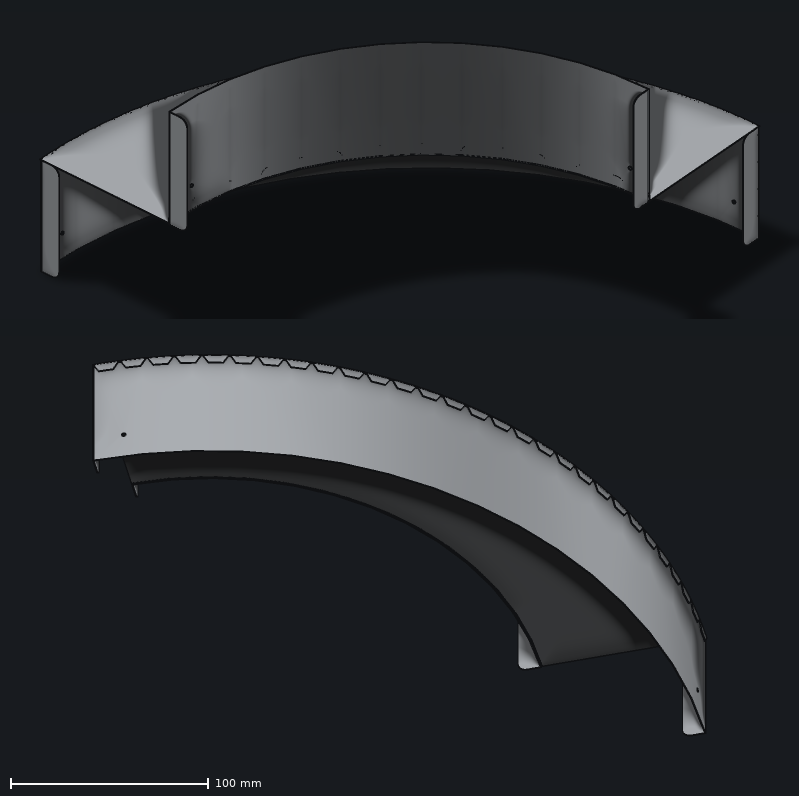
import cadquery as cq
import math


sheet = 0.6
length_y = 259.7
height = 139.5
plate_bottom = 69.3
inner_wall_radius = 172.7
flange_depth = 12.2
flange_corner = 5.0
flange_bend = 0.5

hole_diameter = 2.0
hole_height = 15.5
hole_inset = 16.0
hole_inset_inner_x = 12.2

outer_tab_count = 29
outer_tab_height = 6.0
outer_notch_mouth = 6.5
outer_notch_root = 0.8
inner_tab_count = 18
inner_tab_height = 7.0
inner_tab_corner = 5.5

plate_top = plate_bottom + sheet
outer_tab_radius = length_y - sheet
outer_wall_radius = outer_tab_radius - sheet
inner_tab_radius = inner_wall_radius + sheet
quarter_turn = 90.0
clearance = 2.5


def quarter_ring(outer_radius, inner_radius, bottom, top):
    """Quarter of a ring in the -X, +Y quadrant."""
    ring = cq.Workplane("XY").workplane(offset=bottom).circle(outer_radius).circle(inner_radius)
    quadrant = cq.Workplane("XY").box(
        outer_radius, outer_radius, top, centered=False
    ).translate((-outer_radius, 0, 0))
    return ring.extrude(top - bottom).intersect(quadrant)


def radial_plane(angle, level):
    """Plane facing outward from the arc centre; angle in degrees from -X towards +Y."""
    turn = math.radians(angle)
    outward = cq.Vector(-math.cos(turn), math.sin(turn), 0)
    tangent = cq.Vector(-math.sin(turn), -math.cos(turn), 0)
    return cq.Plane(origin=(0, 0, level), xDir=tangent, normal=outward)


def flange(radius, bottom, top, thickness_start):
    """Flange inward along +X from the wall, sheet starting at Y = thickness_start, free corners rounded."""
    blank = cq.Workplane("XY").box(flange_depth, sheet, top - bottom, centered=False)
    rounded = blank.edges("|Y and >X").fillet(flange_corner)
    return rounded.translate((-radius, thickness_start, bottom))


def wall_hole(radius, angle, level):
    """Radial drill through a wall."""
    drill = cq.Workplane(radial_plane(angle, level)).workplane(offset=radius - sheet - clearance)
    return drill.circle(hole_diameter / 2).extrude(sheet + 2 * clearance)


def end_angle(radius, inset):
    """Angle at which a point on the given radius lies the inset away from an end plane."""
    return math.degrees(math.asin(inset / radius))


def curved_wall(radius, bottom, top, flange_y, inset_x):
    """Quarter-turn wall with an inward flange and a screw hole at each end."""
    wall = quarter_ring(radius, radius - sheet, bottom, top)
    flange_at_y_end = flange(radius, bottom, top, flange_y)
    flange_at_x_end = flange(radius, bottom, top, 0).mirror("XZ").rotate((0, 0, 0), (0, 0, 1), -quarter_turn)
    wall = wall.union(flange_at_y_end).union(flange_at_x_end)
    for angle in (end_angle(radius, hole_inset), quarter_turn - end_angle(radius, inset_x)):
        wall = wall.cut(wall_hole(radius, angle, bottom + hole_height))
    return wall


def outer_notch(angle):
    """Tapered notch between two outer tabs, from the plate to the tabs' free edge."""
    depth = outer_tab_height - sheet
    profile = cq.Workplane(radial_plane(angle, plate_bottom)).workplane(offset=outer_wall_radius - clearance)
    profile = profile.polyline([
        (-outer_notch_root / 2, 0),
        (outer_notch_root / 2, 0),
        (outer_notch_mouth / 2, -depth),
        (-outer_notch_mouth / 2, -depth),
    ]).close()
    return profile.extrude(sheet + 2 * clearance)


def inner_notch(angle):
    """Pointed notch that rounds the facing corners of two inner tabs."""
    tip = inner_tab_height - inner_tab_corner
    along_arc = inner_tab_corner * math.sqrt(0.5)
    side = inner_tab_corner - along_arc
    profile = cq.Workplane(radial_plane(angle, plate_bottom)).workplane(offset=inner_wall_radius - clearance)
    profile = (
        profile.moveTo(0, tip)
        .threePointArc((side, tip + along_arc), (inner_tab_corner, inner_tab_height))
        .lineTo(-inner_tab_corner, inner_tab_height)
        .threePointArc((-side, tip + along_arc), (0, tip))
        .close()
    )
    return profile.extrude(sheet + 2 * clearance)


def folded_blank():
    """Quarter-turn plate with a continuous rim folded down outside and up inside.

    Both folds are square inside and rounded to one sheet thickness outside.
    """
    rim_bottom = plate_top - outer_tab_height
    rim_top = plate_bottom + inner_tab_height
    arc = sheet * math.sqrt(0.5)
    section = (
        cq.Workplane("XZ")
        .moveTo(-inner_tab_radius, plate_bottom)
        .lineTo(-outer_wall_radius, plate_bottom)
        .lineTo(-outer_wall_radius, rim_bottom)
        .lineTo(-outer_tab_radius, rim_bottom)
        .lineTo(-outer_tab_radius, plate_bottom)
        .threePointArc((-outer_wall_radius - arc, plate_bottom + arc), (-outer_wall_radius, plate_top))
        .lineTo(-inner_tab_radius, plate_top)
        .lineTo(-inner_tab_radius, rim_top)
        .lineTo(-inner_wall_radius, rim_top)
        .lineTo(-inner_wall_radius, plate_top)
        .threePointArc((-inner_tab_radius + arc, plate_top - arc), (-inner_tab_radius, plate_bottom))
        .close()
    )
    return section.revolve(quarter_turn, (0, 0, 0), (0, -1, 0))


def floor_plate():
    """Folded plate with its rims notched into tabs, half a notch at each end."""
    plate = folded_blank()
    for index in range(outer_tab_count + 1):
        plate = plate.cut(outer_notch(index * quarter_turn / outer_tab_count))
    for index in range(inner_tab_count + 1):
        plate = plate.cut(inner_notch(index * quarter_turn / inner_tab_count))
    return plate


outer_wall = curved_wall(outer_wall_radius, 0, plate_bottom, 0, hole_inset)
inner_wall = curved_wall(inner_wall_radius, plate_bottom, height, -sheet, hole_inset_inner_x)
fold_edge = (-inner_wall_radius, -sheet, (plate_bottom + height) / 2)
inner_wall = inner_wall.edges(cq.NearestToPointSelector(fold_edge)).fillet(flange_bend)
plate = floor_plate()

result = cq.Compound.makeCompound([
    outer_wall.solids().val(),
    inner_wall.solids().val(),
    plate.solids().val(),
])